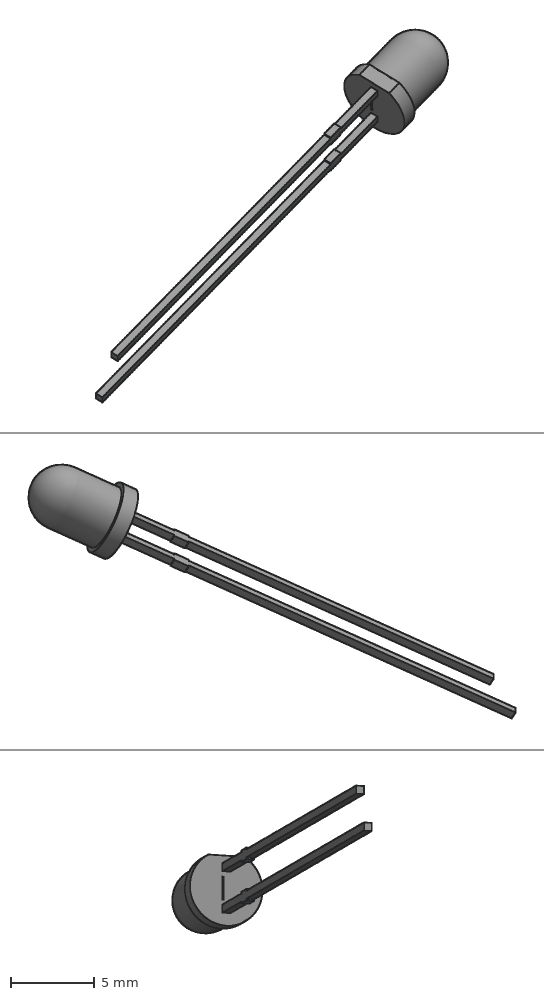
import cadquery as cq

LENS_RADIUS = 2.0
LENS_LENGTH = 6.0

FLANGE_RADIUS = 2.3
FLANGE_THICKNESS = 1.0
FLAT_HEIGHT = LENS_RADIUS

LEAD_PITCH = 2.54
LEAD_SIDE = 0.5
LONG_LEAD_LENGTH = 27.0
LEAD_LENGTH_DIFFERENCE = 1.5
SHORT_LEAD_LENGTH = LONG_LEAD_LENGTH - LEAD_LENGTH_DIFFERENCE

STOP_START = 3.6
STOP_LENGTH = 1.0
STOP_HEIGHT = 0.7

SLOT_WIDTH = 0.1
SLOT_HEIGHT = 1.4
SLOT_DEPTH = 0.1


def make_lens():
    """Revolve the half profile of the domed cylinder about the Y axis."""
    dome_start = LENS_LENGTH - LENS_RADIUS
    half_profile = (
        cq.Workplane("YZ")
        .lineTo(0, LENS_RADIUS)
        .lineTo(dome_start, LENS_RADIUS)
        .radiusArc((LENS_LENGTH, 0), LENS_RADIUS)
        .close()
    )
    return half_profile.revolve(360, (0, 0), (1, 0))


def make_flange():
    """Disc at the base with one flat facing +Z."""
    disc = cq.Workplane("XZ").circle(FLANGE_RADIUS).extrude(-FLANGE_THICKNESS)
    diameter = 2 * FLANGE_RADIUS
    above_flat = cq.Workplane("XY", origin=(0, 0, FLAT_HEIGHT)).box(
        diameter, diameter, FLANGE_RADIUS, centered=(True, True, False)
    )
    return disc.cut(above_flat)


def make_lead(z_center, length):
    """Square lead with its taller stop."""
    lead = cq.Workplane("XZ").center(0, z_center).rect(LEAD_SIDE, LEAD_SIDE).extrude(length)
    stop = (
        cq.Workplane("XZ", origin=(0, -STOP_START, z_center))
        .rect(LEAD_SIDE, STOP_HEIGHT)
        .extrude(STOP_LENGTH)
    )
    return lead.union(stop)


def make_slot():
    """Cutter for the slot in the base face."""
    x_center = (SLOT_WIDTH - LEAD_SIDE) / 2
    return cq.Workplane("XZ").center(x_center, 0).rect(SLOT_WIDTH, SLOT_HEIGHT).extrude(-SLOT_DEPTH)


result = make_lens().union(make_flange()).cut(make_slot())
for z_center, length in (
    (LEAD_PITCH / 2, SHORT_LEAD_LENGTH),
    (-LEAD_PITCH / 2, LONG_LEAD_LENGTH),
):
    result = result.union(make_lead(z_center, length))